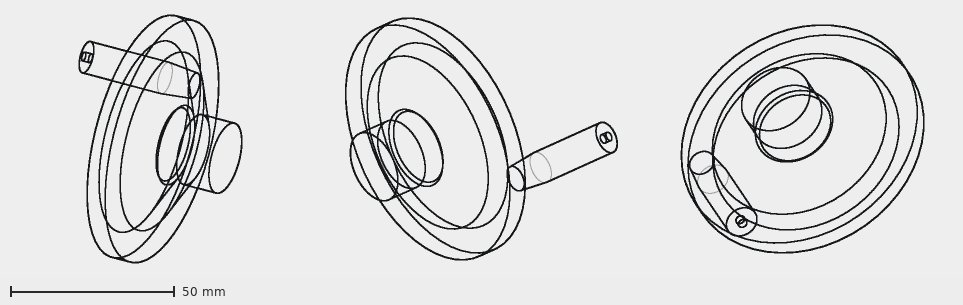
import cadquery as cq

rim_diameter = 76.2
rim_width = 6.2
cone_outer_diameter = 56.1
cone_length = 10.65
hub_diameter = 22.1
hub_length = 11.05
wheel_length = rim_width + cone_length + hub_length

dish_diameter = 60.1
dish_depth = 11.05
boss_base_diameter = 25.0
boss_top_diameter = 23.0
boss_height = 1.0

overall_height = 76.65
overall_length = 65.6
handle_diameter = 9.9
handle_root_diameter = 8.0
handle_taper_length = 10.05
handle_nose_height = 0.9
handle_length = overall_length - wheel_length
handle_offset = overall_height - (rim_diameter + handle_diameter) / 2

handle_hole_diameter = 2.75
handle_hole_depth = 2.3


def make_wheel():
    """Revolve the rim, conical web, hub and dished face about X."""
    rim_radius = rim_diameter / 2
    hub_radius = hub_diameter / 2
    cone_end = rim_width + cone_length
    profile = (
        cq.Workplane("XY")
        .moveTo(dish_depth - boss_height, 0)
        .lineTo(dish_depth - boss_height, boss_top_diameter / 2)
        .lineTo(dish_depth, boss_base_diameter / 2)
        .lineTo(0, dish_diameter / 2)
        .lineTo(0, rim_radius)
        .lineTo(rim_width, rim_radius)
        .lineTo(rim_width, cone_outer_diameter / 2)
        .lineTo(cone_end, hub_radius)
        .lineTo(wheel_length, hub_radius)
        .lineTo(wheel_length, 0)
        .close()
    )
    return profile.revolve(360, (0, 0), (1, 0))


def make_handle():
    """Revolve the tapered root, straight grip and conical nose about the handle axis."""
    grip_radius = handle_diameter / 2
    nose_start = -(handle_length - handle_nose_height)
    profile = (
        cq.Workplane("XY")
        .moveTo(0, 0)
        .lineTo(0, handle_root_diameter / 2)
        .lineTo(-handle_taper_length, grip_radius)
        .lineTo(nose_start, grip_radius)
        .lineTo(-handle_length, handle_hole_diameter / 2)
        .lineTo(-handle_length, 0)
        .close()
    )
    handle = profile.revolve(360, (0, 0), (1, 0))
    hole = (
        cq.Workplane("YZ", origin=(-handle_length, 0, 0))
        .circle(handle_hole_diameter / 2)
        .extrude(handle_hole_depth)
    )
    return handle.cut(hole).translate((0, handle_offset, 0))


result = make_wheel().union(make_handle())